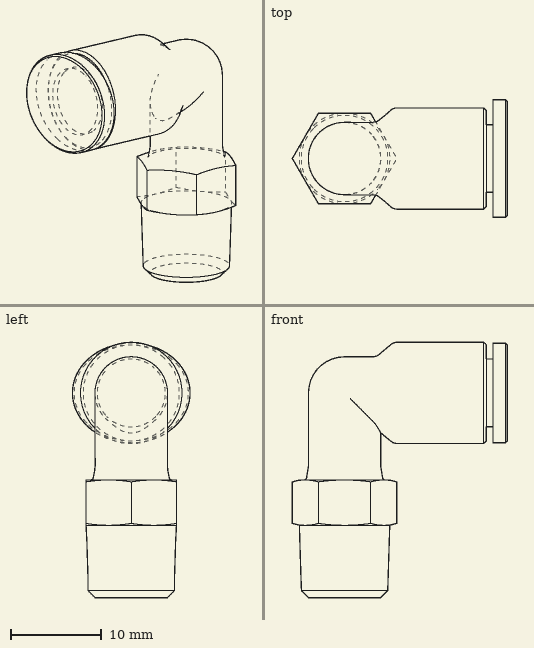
import cadquery as cq
import math


thread_length = 8.0
thread_top_radius = 5.0
thread_taper = 1 / 32
thread_chamfer = 0.8

hex_across_flats = 10.0
hex_height = 5.0
hex_corner_angle = 15.0

tube_radius = 4.0
elbow_height = 22.6

flare_radius = 4.2
flare_top = 1.5
foot_round = 0.3

socket_radius = 5.6
shoulder_start = 3.14
shoulder_angle = 40.0
shoulder_round = 1.0
socket_end = 15.65
socket_chamfer = 0.3

stem_radius = 3.75
button_start = 16.35
button_end = 17.95
button_half_width = 6.5
button_half_height = 5.5
button_chamfer = 0.2

hex_top = thread_length + hex_height


def revolve_about_z(profile):
    """Turn a closed XZ half profile about the Z axis."""
    return profile.close().revolve(360, (0, 0, 0), (0, 1, 0))


def make_thread_end():
    taper_height = thread_length - thread_chamfer
    small_radius = thread_top_radius - taper_height * thread_taper
    profile = (
        cq.Workplane("XZ")
        .lineTo(small_radius - thread_chamfer, 0)
        .lineTo(small_radius, thread_chamfer)
        .lineTo(thread_top_radius, thread_length)
        .lineTo(0, thread_length)
    )
    return revolve_about_z(profile)


def make_hexagon():
    corner_radius = hex_across_flats / math.sqrt(3)
    flat_radius = hex_across_flats / 2
    prism = (
        cq.Workplane("XY")
        .workplane(offset=thread_length)
        .polygon(6, 2 * corner_radius)
        .extrude(hex_height)
    )
    bevel_drop = (corner_radius - flat_radius) * math.tan(math.radians(hex_corner_angle))
    profile = (
        cq.Workplane("XZ")
        .moveTo(0, thread_length)
        .lineTo(flat_radius, thread_length)
        .lineTo(corner_radius, thread_length + bevel_drop)
        .lineTo(corner_radius, hex_top - bevel_drop)
        .lineTo(flat_radius, hex_top)
        .lineTo(0, hex_top)
    )
    return prism.intersect(revolve_about_z(profile))


def make_vertical_tube():
    foot_radius = flare_radius + foot_round
    profile = (
        cq.Workplane("XZ")
        .moveTo(0, hex_top)
        .lineTo(foot_radius, hex_top)
        .radiusArc((flare_radius, hex_top + foot_round), foot_round)
        .lineTo(tube_radius, hex_top + flare_top)
        .lineTo(tube_radius, elbow_height)
        .lineTo(0, elbow_height)
    )
    return revolve_about_z(profile)


def make_elbow_ball():
    return cq.Workplane("XY").sphere(tube_radius).translate((0, 0, elbow_height))


def make_socket_leg():
    """Horizontal tube, rounded shoulder, socket and button stem in one turned body."""
    angle = math.radians(shoulder_angle)
    round_run = shoulder_round * math.sin(angle)
    round_rise = shoulder_round * (1 - math.cos(angle))
    cone_rise = socket_radius - tube_radius - 2 * round_rise
    cone_start = shoulder_start + round_run
    cone_end = cone_start + cone_rise / math.tan(angle)
    profile = (
        cq.Workplane("XZ")
        .lineTo(0, tube_radius)
        .lineTo(shoulder_start, tube_radius)
        .radiusArc((cone_start, tube_radius + round_rise), -shoulder_round)
        .lineTo(cone_end, socket_radius - round_rise)
        .radiusArc((cone_end + round_run, socket_radius), shoulder_round)
        .lineTo(socket_end - socket_chamfer, socket_radius)
        .lineTo(socket_end, socket_radius - socket_chamfer)
        .lineTo(socket_end, stem_radius)
        .lineTo(button_start, stem_radius)
        .lineTo(button_start, 0)
        .close()
    )
    leg = profile.revolve(360, (0, 0, 0), (1, 0, 0))
    return leg.translate((0, 0, elbow_height))


def make_button():
    """Oval release button, wider along Y than it is high."""
    return (
        cq.Workplane("YZ", origin=(button_start, 0, elbow_height))
        .ellipse(button_half_width, button_half_height)
        .extrude(button_end - button_start)
        .faces(">X")
        .chamfer(button_chamfer)
    )


result = (
    make_thread_end()
    .union(make_hexagon())
    .union(make_vertical_tube())
    .union(make_elbow_ball())
    .union(make_socket_leg())
    .union(make_button())
)